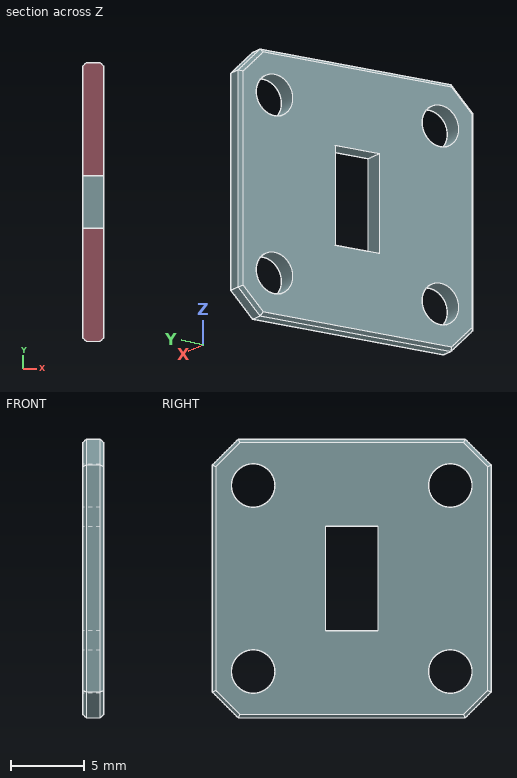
import cadquery as cq

side = 19.05
thickness = 1.45
corner_cut = 1.78
edge_chamfer = 0.25

window_width = 3.56
window_height = 7.11

hole_diameter = 2.95
hole_spacing_y = 13.46
hole_spacing_z = 12.7


def make_plate():
    """Square plate with cut corners and both face outlines chamfered."""
    plate = cq.Workplane("YZ").box(side, side, thickness)
    plate = plate.edges("|X").chamfer(corner_cut)
    return plate.faces("<X or >X").edges().chamfer(edge_chamfer)


def cut_window(plate):
    """Cut the rectangular opening through the middle of the plate."""
    opening = cq.Workplane("YZ").box(window_width, window_height, thickness)
    return plate.cut(opening)


def cut_mounting_holes(plate):
    """Cut four round holes through the plate, one near each corner."""
    holes = (
        cq.Workplane("YZ", origin=(-thickness / 2, 0, 0))
        .rect(hole_spacing_y, hole_spacing_z, forConstruction=True)
        .vertices()
        .circle(hole_diameter / 2)
        .extrude(thickness)
    )
    return plate.cut(holes)


plate = make_plate()
plate = cut_window(plate)
result = cut_mounting_holes(plate)